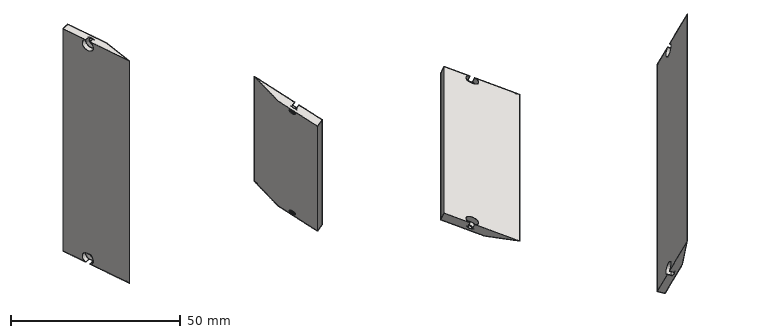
import cadquery as cq

length = 89.0
width = 24.3
thickness = 2.5
flat_width = 14.1

hole_x = 9.1
hole_end_distance = 1.9
hole_diameter = 2.1
head_diameter = 4.0
head_depth = 1.6
cone_depth = 0.6


def wedge_plate():
    """Plate whose back face slopes down to a sharp edge on the +X side."""
    return (
        cq.Workplane("XY")
        .polyline([(0, 0), (width, 0), (flat_width, thickness), (0, thickness)])
        .close()
        .extrude(length)
    )


def screw_hole(z):
    """Straight head recess, then a cone narrowing to the through hole."""
    return (
        cq.Workplane("XY")
        .polyline([
            (0, 0),
            (head_diameter / 2, 0),
            (head_diameter / 2, head_depth),
            (hole_diameter / 2, head_depth + cone_depth),
            (hole_diameter / 2, thickness),
            (0, thickness),
        ])
        .close()
        .revolve(360, (0, 0, 0), (0, 1, 0))
        .translate((hole_x, 0, z))
    )


result = wedge_plate()
for hole_z in (hole_end_distance, length - hole_end_distance):
    result = result.cut(screw_hole(hole_z))